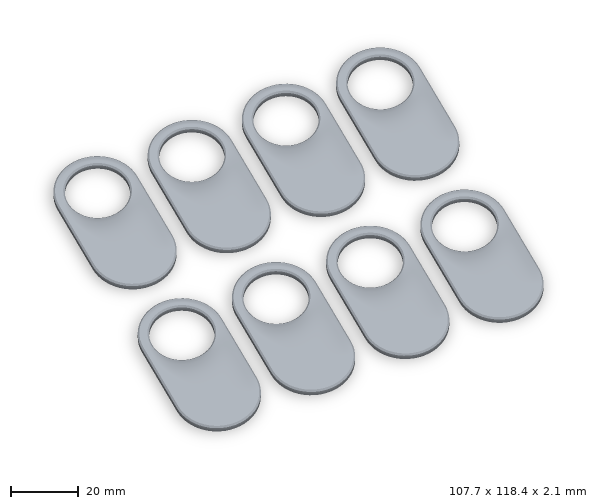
import cadquery as cq

TAG_LENGTH = 50.0
TAG_WIDTH = 26.0
TAG_THICKNESS = 2.1
HOLE_DIAMETER = 19.3
EDGE_CHAMFER = 0.5

COLUMNS = 2
ROWS = 4
COLUMN_PITCH = 57.7
ROW_PITCH = 30.8

HOLE_X = (TAG_WIDTH - TAG_LENGTH) / 2


def make_tag():
    """One tag centred on the origin, with its underside on Z = 0."""
    blank = cq.Workplane("XY").slot2D(TAG_LENGTH, TAG_WIDTH).extrude(TAG_THICKNESS)
    hole = cq.Workplane("XY").center(HOLE_X, 0).circle(HOLE_DIAMETER / 2).extrude(TAG_THICKNESS)
    return blank.cut(hole).faces(">Z").edges().chamfer(EDGE_CHAMFER)


def make_tags():
    """All tags, with the grid centred on the origin."""
    tags = []
    for column in range(COLUMNS):
        x = (column - (COLUMNS - 1) / 2) * COLUMN_PITCH
        for row in range(ROWS):
            y = (row - (ROWS - 1) / 2) * ROW_PITCH
            tags.append(make_tag().translate((x, y, 0)).val())
    return tags


result = cq.Compound.makeCompound(make_tags())